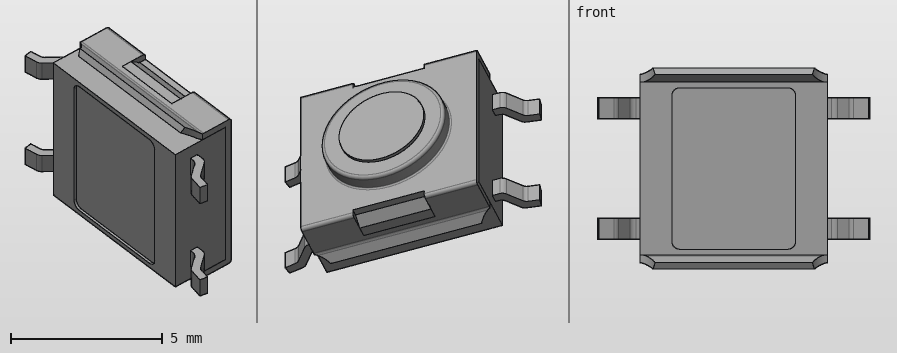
import cadquery as cq
import math


BODY_WIDTH = 6.2
HOUSING_LENGTH = 5.7
HOUSING_HEIGHT = 2.185
BASE_RECESS_WIDTH = 4.09
BASE_RECESS_LENGTH = 5.33
BASE_RECESS_RADIUS = 0.27
BASE_RECESS_DEPTH = 0.1

LUG_WIDTH = 2.52
LUG_BOTTOM = 1.42
LUG_RAMP_START = 1.8

LEAD_SPACING = 3.98
LEAD_WIDTH = 0.7
LEAD_THICKNESS = 0.3
LEAD_TOP = 0.95
LEAD_UPPER_KNEE_X = 3.49
LEAD_LOWER_KNEE_X = 4.02
LEAD_LOWER_KNEE_Y = 0.3
LEAD_TIP_X = 4.495
LEAD_FOOT_ANGLE = 10.0
LEAD_BEND_RADIUS = 0.25

SHEET_THICKNESS = 0.25
COVER_CORNER_RADIUS = 0.13
FLANGE_BEND_Y = 1.17
FLANGE_ANGLE = 30.0
FLANGE_BEND_RADIUS = 0.225
FLANGE_TIP_SPAN = 6.64
FLANGE_TIP_WIDTH = 5.2
FLANGE_TRIM_RADIUS = 0.99

DOME_DIAMETER = 4.34
DOME_TOP = 2.985
DOME_EDGE_RADIUS = 0.12
DOME_BASE_RADIUS = 0.05

BUTTON_DIAMETER = 2.99
BUTTON_TOP = 3.09

HALF_WIDTH = BODY_WIDTH / 2
HOUSING_SIDE = HOUSING_LENGTH / 2
COVER_SIDE = HOUSING_SIDE + SHEET_THICKNESS
COVER_TOP = HOUSING_HEIGHT + SHEET_THICKNESS
MIRROR_SIDES = (1, -1)


def along_y(bottom):
    """Workplane at height Y = bottom, with local x along X and extrusion towards +Y."""
    return cq.Workplane(cq.Plane(origin=(0, bottom, 0), xDir=(1, 0, 0), normal=(0, 1, 0)))


def make_lug(side):
    """Snap lug with a lead-in ramp, on the housing's +Z (side = 1) or -Z (side = -1) wall."""
    outline = [
        (LUG_BOTTOM, side * HOUSING_SIDE),
        (LUG_BOTTOM, side * COVER_SIDE),
        (LUG_RAMP_START, side * COVER_SIDE),
        (HOUSING_HEIGHT, side * HOUSING_SIDE),
    ]
    return cq.Workplane("YZ").polyline(outline).close().extrude(LUG_WIDTH / 2, both=True)


def make_lead(side, z):
    """Gull-wing lead on the +X (side = 1) or -X (side = -1) wall, centred at height z."""
    foot_angle = math.radians(LEAD_FOOT_ANGLE)
    slope_angle = math.atan2(LEAD_TOP - LEAD_LOWER_KNEE_Y, LEAD_LOWER_KNEE_X - LEAD_UPPER_KNEE_X)
    tip_y = LEAD_LOWER_KNEE_Y - (LEAD_TIP_X - LEAD_LOWER_KNEE_X) * math.tan(foot_angle)

    upper_shift = LEAD_THICKNESS * math.tan(slope_angle / 2)
    lower_bisector = (slope_angle + foot_angle) / 2
    lower_shift = LEAD_THICKNESS / math.cos((slope_angle - foot_angle) / 2)
    upper_knee_top = (side * LEAD_UPPER_KNEE_X, LEAD_TOP)
    lower_knee_top = (side * LEAD_LOWER_KNEE_X, LEAD_LOWER_KNEE_Y)
    upper_knee_under = (side * (LEAD_UPPER_KNEE_X - upper_shift), LEAD_TOP - LEAD_THICKNESS)
    lower_knee_under = (
        side * (LEAD_LOWER_KNEE_X - lower_shift * math.sin(lower_bisector)),
        LEAD_LOWER_KNEE_Y - lower_shift * math.cos(lower_bisector),
    )
    tip_top = (side * LEAD_TIP_X, tip_y)
    tip_under = (
        side * (LEAD_TIP_X - LEAD_THICKNESS * math.sin(foot_angle)),
        tip_y - LEAD_THICKNESS * math.cos(foot_angle),
    )
    wall_top = (side * HALF_WIDTH, LEAD_TOP)
    wall_under = (side * HALF_WIDTH, LEAD_TOP - LEAD_THICKNESS)

    lead = (
        cq.Workplane("XY", origin=(0, 0, z))
        .polyline([wall_top, upper_knee_top, lower_knee_top, tip_top,
                   tip_under, lower_knee_under, upper_knee_under, wall_under])
        .close()
        .extrude(LEAD_WIDTH / 2, both=True)
    )
    for x, y in (upper_knee_top, lower_knee_top, upper_knee_under, lower_knee_under):
        knee = cq.selectors.NearestToPointSelector((x, y, z))
        lead = lead.edges(knee).fillet(LEAD_BEND_RADIUS)
    return lead


def make_housing():
    """Moulded block with a shallow recess in its base, two snap lugs and four leads."""
    housing = along_y(0).rect(BODY_WIDTH, HOUSING_LENGTH).extrude(HOUSING_HEIGHT)
    base_recess = (
        along_y(0)
        .rect(BASE_RECESS_WIDTH, BASE_RECESS_LENGTH)
        .extrude(BASE_RECESS_DEPTH)
        .edges("|Y")
        .fillet(BASE_RECESS_RADIUS)
    )
    housing = housing.cut(base_recess)
    for side in MIRROR_SIDES:
        housing = housing.union(make_lug(side))
        for z in (-LEAD_SPACING / 2, LEAD_SPACING / 2):
            housing = housing.union(make_lead(side, z))
    return housing


def make_side_wall(side):
    """Side wall of the cover with its flared lower edge and trimmed corners."""
    angle = math.radians(FLANGE_ANGLE)
    tip_z = FLANGE_TIP_SPAN / 2
    tip_y = FLANGE_BEND_Y - (tip_z - COVER_SIDE) / math.tan(angle)
    inner_tip_z = tip_z - SHEET_THICKNESS * math.cos(angle)
    inner_tip_y = tip_y - SHEET_THICKNESS * math.sin(angle)
    inner_bend_y = FLANGE_BEND_Y - SHEET_THICKNESS * math.tan(angle / 2)

    wall = (
        cq.Workplane("YZ")
        .polyline([
            (COVER_TOP, side * HOUSING_SIDE),
            (COVER_TOP, side * COVER_SIDE),
            (FLANGE_BEND_Y, side * COVER_SIDE),
            (tip_y, side * tip_z),
            (inner_tip_y, side * inner_tip_z),
            (inner_bend_y, side * HOUSING_SIDE),
        ])
        .close()
        .extrude(HALF_WIDTH, both=True)
    )
    rounded_edges = (
        (COVER_TOP, COVER_SIDE, COVER_CORNER_RADIUS),
        (FLANGE_BEND_Y, COVER_SIDE, FLANGE_BEND_RADIUS),
        (inner_bend_y, HOUSING_SIDE, FLANGE_BEND_RADIUS),
    )
    for y, z, radius in rounded_edges:
        edge = cq.selectors.NearestToPointSelector((0, y, side * z))
        wall = wall.edges(edge).fillet(radius)

    for end in MIRROR_SIDES:
        trim = (
            cq.Workplane("XY")
            .moveTo(end * HALF_WIDTH, FLANGE_BEND_Y)
            .radiusArc((end * FLANGE_TIP_WIDTH / 2, inner_tip_y), -end * FLANGE_TRIM_RADIUS)
            .lineTo(end * HALF_WIDTH, inner_tip_y)
            .close()
            .extrude(side * FLANGE_TIP_SPAN)
        )
        wall = wall.cut(trim)
    return wall


def make_cover():
    """Sheet cover: a domed plate over the housing, a side wall on each side and the button's bore."""
    plate = along_y(HOUSING_HEIGHT).rect(BODY_WIDTH, HOUSING_LENGTH).extrude(SHEET_THICKNESS)
    dome = along_y(HOUSING_HEIGHT).circle(DOME_DIAMETER / 2).extrude(DOME_TOP - HOUSING_HEIGHT)
    dome = dome.edges(">Y").fillet(DOME_EDGE_RADIUS)
    dome_base = cq.selectors.NearestToPointSelector((0, COVER_TOP, 0))
    cover = plate.union(dome).edges("%CIRCLE").edges(dome_base).fillet(DOME_BASE_RADIUS)

    for side in MIRROR_SIDES:
        window = (
            along_y(LUG_BOTTOM)
            .center(0, -side * (HOUSING_SIDE + COVER_SIDE) / 2)
            .rect(LUG_WIDTH, SHEET_THICKNESS)
            .extrude(COVER_TOP - LUG_BOTTOM)
        )
        cover = cover.union(make_side_wall(side).cut(window))

    bore = along_y(HOUSING_HEIGHT).circle(BUTTON_DIAMETER / 2).extrude(DOME_TOP - HOUSING_HEIGHT)
    return cover.cut(bore)


def make_button():
    """Plain round button, standing on the housing and showing above the dome."""
    return along_y(HOUSING_HEIGHT).circle(BUTTON_DIAMETER / 2).extrude(BUTTON_TOP - HOUSING_HEIGHT)


housing = make_housing()
cover = make_cover()
button = make_button()

result = cq.Compound.makeCompound([housing.solids().val(), cover.solids().val(), button.solids().val()])